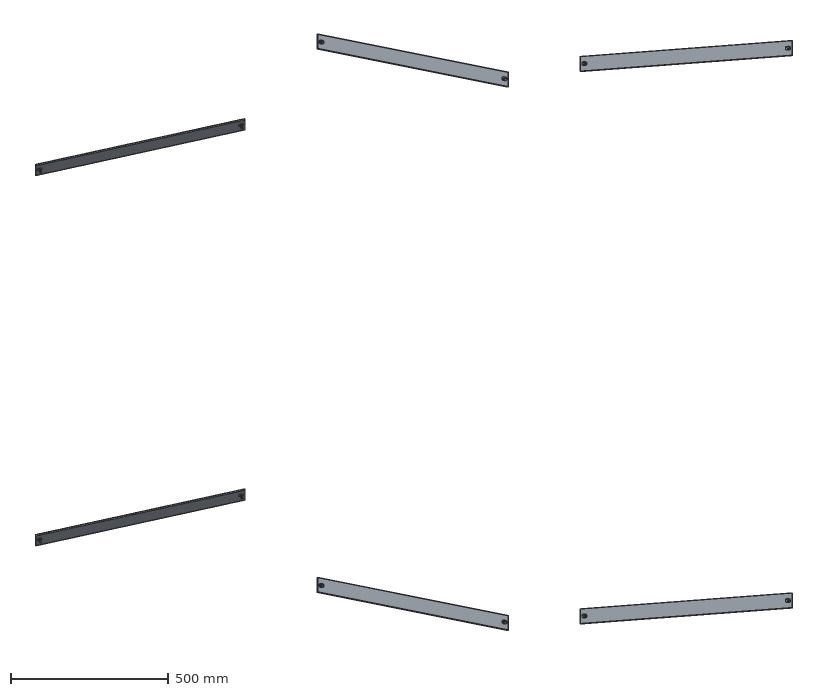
import cadquery as cq

rail_length = 691.0
overall_depth = 16.0
overall_height = 1899.0

rail_height = 49.0
rail_thickness = 6.0

stud_diameter = 6.0
stud_length = overall_depth - rail_thickness
stud_inset = 13.25
bore_diameter = 3.96

recess_length = 16.0
recess_width = 12.0
recess_depth = 3.0

stud_offset = rail_length / 2 - stud_inset
stud_points = [(-stud_offset, 0), (stud_offset, 0)]
rail_offset = (overall_height - rail_height) / 2


def make_plate():
    """Flat bar with its front face at X = 0."""
    return cq.Workplane("XY").box(
        rail_thickness, rail_length, rail_height, centered=(False, True, True)
    )


def make_studs():
    """Round studs standing on the back face of the bar."""
    back = cq.Workplane("YZ", origin=(rail_thickness, 0, 0))
    return back.pushPoints(stud_points).circle(stud_diameter / 2).extrude(stud_length)


def make_bores():
    """Round holes running through the bar and the studs."""
    front = cq.Workplane("YZ")
    return front.pushPoints(stud_points).circle(bore_diameter / 2).extrude(overall_depth)


def make_recesses():
    """Shallow obround pockets, long side along the rail."""
    front = cq.Workplane("YZ")
    return front.pushPoints(stud_points).slot2D(recess_length, recess_width).extrude(recess_depth)


def make_rail(centre_z):
    rail = make_plate().union(make_studs()).cut(make_bores()).cut(make_recesses())
    return rail.translate((0, 0, centre_z))


rails = [make_rail(side * rail_offset) for side in (-1, 1)]

result = cq.Compound.makeCompound([rail.solids().val() for rail in rails])